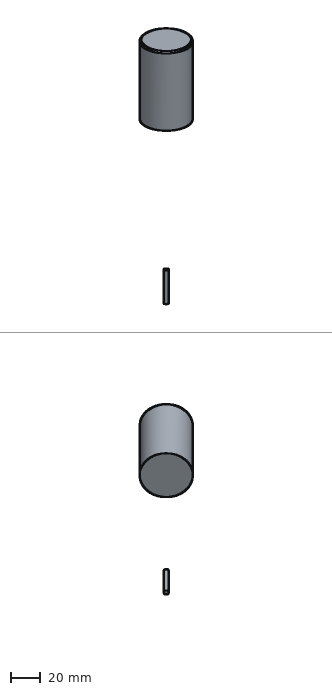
import cadquery as cq

total_height = 200.0

body_diameter = 36.0
body_height = 60.0
body_chamfer = 1.2

pin_diameter = 3.4
pin_height = 25.5


def make_body():
    """Solid cylinder with a chamfered top rim, its top at the full height."""
    return (
        cq.Workplane("XY", origin=(0, 0, total_height - body_height))
        .circle(body_diameter / 2)
        .extrude(body_height)
        .faces(">Z")
        .chamfer(body_chamfer)
    )


def make_pin():
    """Plain pin standing on the base plane."""
    return cq.Workplane("XY").circle(pin_diameter / 2).extrude(pin_height)


body = make_body()
pin = make_pin()

result = cq.Compound.makeCompound([body.val(), pin.val()])